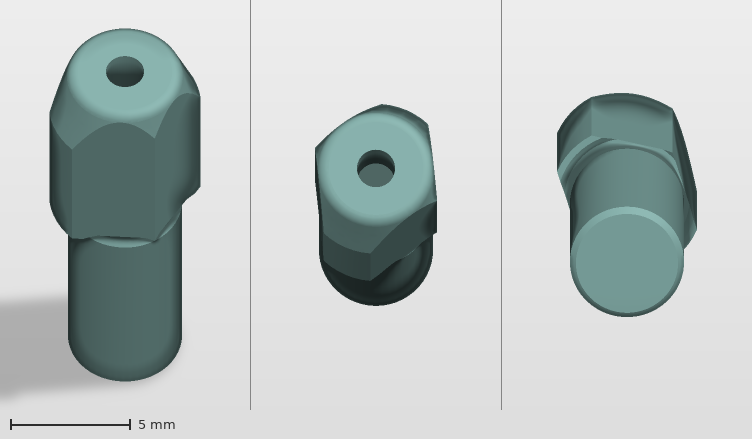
import cadquery as cq
import math

INCH = 25.4

total_length = 0.75 * INCH
head_round_radius = 0.125 * INCH
across_flats = 0.19 * INCH
flat_angle = 60.0
shank_radius = 0.1875 * INCH / 2
head_bottom_z = 10.32

nose_start_z = 16.66
nose_angle = 20.0
nose_fillet_radius = 0.48

end_chamfer = 0.25
hole_diameter = INCH / 16
hole_depth = 2 * hole_diameter

undercut_radius = 2.165
undercut_top_z = 10.61
undercut_top_fillet = 0.24
undercut_lower_fillet = 0.19
shoulder_z = 9.8
shoulder_angle = 40.0
face_relief_radius = 2.61
face_relief_angle = 45.0

corner_reach = across_flats / 2 / math.sin(math.radians(flat_angle))
corner_y = corner_reach * math.tan(math.radians(flat_angle))
nose_length = total_length - nose_start_z
nose_end_radius = head_round_radius - nose_length * math.tan(math.radians(nose_angle))
relief_height = undercut_top_z - head_bottom_z
relief_rim_radius = face_relief_radius + relief_height * math.tan(math.radians(face_relief_angle))


def make_turned_body():
    """Round body: chamfered shank, undercut, relieved head underside and tapered nose."""
    shoulder_slope = math.radians(shoulder_angle)
    shoulder_corner_z = shoulder_z + (shank_radius - undercut_radius) / math.tan(shoulder_slope)
    half_turn = shoulder_slope / 2
    tangent_length = undercut_lower_fillet * math.tan(half_turn)
    slope_offset_r = tangent_length * math.sin(shoulder_slope)
    slope_offset_z = tangent_length * math.cos(shoulder_slope)
    fillet_center_r = undercut_radius + undercut_lower_fillet
    fillet_end_z = shoulder_corner_z + tangent_length
    lower_fillet_mid = (
        fillet_center_r - undercut_lower_fillet * math.cos(half_turn),
        fillet_end_z - undercut_lower_fillet * math.sin(half_turn),
    )
    top_fillet_inset = undercut_top_fillet * (1 - math.sqrt(0.5))

    profile = (
        cq.Workplane("XZ")
        .moveTo(0, 0)
        .lineTo(shank_radius - end_chamfer, 0)
        .lineTo(shank_radius, end_chamfer)
        .lineTo(shank_radius, shoulder_z)
        .lineTo(undercut_radius + slope_offset_r, shoulder_corner_z - slope_offset_z)
        .threePointArc(lower_fillet_mid, (undercut_radius, fillet_end_z))
        .lineTo(undercut_radius, undercut_top_z - undercut_top_fillet)
        .threePointArc(
            (undercut_radius + top_fillet_inset, undercut_top_z - top_fillet_inset),
            (undercut_radius + undercut_top_fillet, undercut_top_z),
        )
        .lineTo(face_relief_radius, undercut_top_z)
        .lineTo(relief_rim_radius, head_bottom_z)
        .lineTo(head_round_radius, head_bottom_z)
        .lineTo(head_round_radius, nose_start_z)
        .lineTo(nose_end_radius, total_length)
        .lineTo(0, total_length)
        .close()
    )
    body = profile.revolve(360, (0, 0), (0, 1))
    return body.faces(">Z").edges().fillet(nose_fillet_radius)


def make_flats_prism():
    """Rhombic prism whose four sides are the wrench flats, with sharp corners on the X axis."""
    return (
        cq.Workplane("XY")
        .polyline([(corner_reach, 0), (0, corner_y), (-corner_reach, 0), (0, -corner_y)])
        .close()
        .extrude(total_length)
    )


def make_hole():
    """Flat-bottomed blind hole in the nose."""
    return (
        cq.Workplane("XY")
        .workplane(offset=total_length - hole_depth)
        .circle(hole_diameter / 2)
        .extrude(hole_depth)
    )


result = make_turned_body().intersect(make_flats_prism()).cut(make_hole())